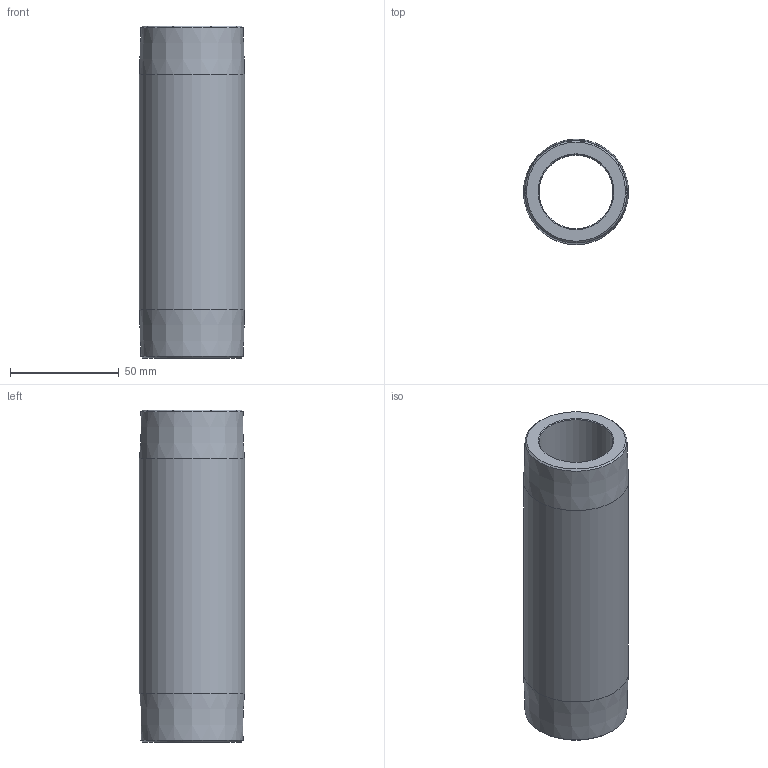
import cadquery as cq

outer_diameter = 48.26
bore_diameter = 33.985
length = 152.4
taper_length = 22.4
taper_ratio = 1 / 16
outer_chamfer = 0.7
bore_chamfer = 0.4

outer_radius = outer_diameter / 2
bore_radius = bore_diameter / 2
end_radius = outer_radius - taper_length * taper_ratio / 2


def make_nipple():
    """Revolve the wall section, drawn in the XZ plane, about the Z axis."""
    section = (
        cq.Workplane("XZ")
        .moveTo(bore_radius, 0)
        .lineTo(end_radius, 0)
        .lineTo(outer_radius, taper_length)
        .lineTo(outer_radius, length - taper_length)
        .lineTo(end_radius, length)
        .lineTo(bore_radius, length)
        .close()
    )
    return section.revolve(360, (0, 0, 0), (0, 1, 0))


def chamfer_ends(body):
    """Break the outer and bore edges of both end faces."""
    end_faces = "<Z or >Z"
    bore_rims = cq.selectors.RadiusNthSelector(0)
    outer_rims = cq.selectors.RadiusNthSelector(1)
    body = body.faces(end_faces).edges(outer_rims).chamfer(outer_chamfer)
    return body.faces(end_faces).edges(bore_rims).chamfer(bore_chamfer)


result = chamfer_ends(make_nipple())